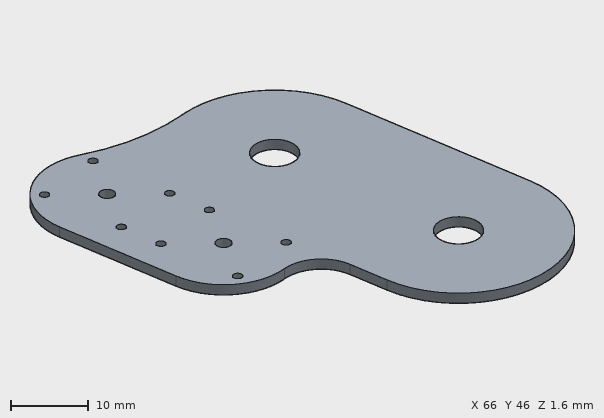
import cadquery as cq
import math

length = 66.05
thickness = 1.6

upper_radius = 15.0
upper_inset = 6.0
large_hole_diameter = 6.5

lower_radius = 10.0
lower_span = 19.0
lobe_offset = 21.0
middle_hole_diameter = 2.2
small_hole_diameter = 1.3
small_hole_dx = 6.3
small_hole_dy = 5.1

lower_left_x = lower_radius
lower_right_x = lower_left_x + lower_span
lower_end_x = lower_right_x + lower_radius
upper_left_x = upper_inset + upper_radius
upper_right_x = length - upper_radius
upper_top = lobe_offset + upper_radius
upper_bottom = lobe_offset - upper_radius

corner_radius = upper_bottom

gap = lower_left_x - upper_inset
hollow_radius = (gap**2 + lobe_offset**2 - lower_radius**2) / (2 * (lower_radius - gap))
hollow_x = upper_inset - hollow_radius
hollow_angle = math.atan2(lobe_offset, lower_left_x - hollow_x)


def arc_point(center_x, center_y, radius, angle):
    """Point on a circle at an angle in radians, counterclockwise from +X."""
    return (center_x + radius * math.cos(angle), center_y + radius * math.sin(angle))


hollow_middle = arc_point(hollow_x, lobe_offset, hollow_radius, -hollow_angle / 2)
hollow_end = arc_point(hollow_x, lobe_offset, hollow_radius, -hollow_angle)
lower_left_middle = arc_point(lower_left_x, 0, lower_radius, math.radians(200))
lower_right_middle = arc_point(lower_right_x, 0, lower_radius, math.radians(-45))
corner_x = lower_end_x + corner_radius
corner_middle = arc_point(corner_x, 0, corner_radius, math.radians(135))
upper_left_middle = arc_point(upper_left_x, lobe_offset, upper_radius, math.radians(135))

plate = (
    cq.Workplane("XY")
    .moveTo(lower_left_x, -lower_radius)
    .lineTo(lower_right_x, -lower_radius)
    .threePointArc(lower_right_middle, (lower_end_x, 0))
    .threePointArc(corner_middle, (corner_x, upper_bottom))
    .lineTo(upper_right_x, upper_bottom)
    .threePointArc((length, lobe_offset), (upper_right_x, upper_top))
    .lineTo(upper_left_x, upper_top)
    .threePointArc(upper_left_middle, (upper_inset, lobe_offset))
    .threePointArc(hollow_middle, hollow_end)
    .threePointArc(lower_left_middle, (lower_left_x, -lower_radius))
    .close()
    .extrude(thickness)
)


def through_holes(centers, diameter):
    """Cutting cylinders through the full plate thickness."""
    return cq.Workplane("XY").pushPoints(centers).circle(diameter / 2).extrude(thickness)


large_centers = [(x, lobe_offset) for x in (upper_left_x, upper_right_x)]
middle_centers = [(x, 0) for x in (lower_left_x, lower_right_x)]
small_centers = [
    (x + side * small_hole_dx, end * small_hole_dy)
    for x, _ in middle_centers
    for side in (-1, 1)
    for end in (-1, 1)
]

result = (
    plate
    .cut(through_holes(large_centers, large_hole_diameter))
    .cut(through_holes(middle_centers, middle_hole_diameter))
    .cut(through_holes(small_centers, small_hole_diameter))
)